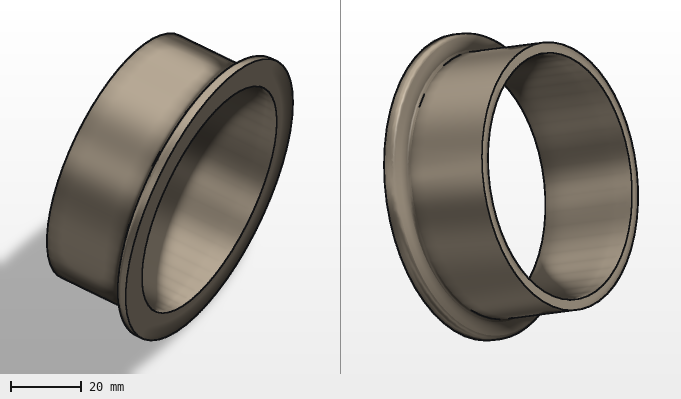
import cadquery as cq
import math

total_length = 30.0
bore_diameter = 70.0
tube_diameter = 76.0
flange_diameter = 87.0
rim_width = 3.0
taper_angle = 17.0
rim_fillet = 1.6
neck_fillet = 1.0

bore_radius = bore_diameter / 2
tube_radius = tube_diameter / 2
flange_radius = flange_diameter / 2
taper_length = (flange_radius - tube_radius) * math.tan(math.radians(taper_angle))
rim_back_x = total_length - rim_width
neck_x = rim_back_x - taper_length


def turned_body():
    """Half section of the wall, revolved about the X axis."""
    return (
        cq.Workplane("XY")
        .moveTo(0, bore_radius)
        .lineTo(total_length, bore_radius)
        .lineTo(total_length, flange_radius)
        .lineTo(rim_back_x, flange_radius)
        .lineTo(neck_x, tube_radius)
        .lineTo(0, tube_radius)
        .close()
        .revolve(360, (0, 0, 0), (1, 0, 0))
    )


def round_edge(body, x, fillet):
    """Fillet the circular edge whose centre lies on the axis at x."""
    edge = cq.selectors.NearestToPointSelector((x, 0, 0))
    return body.edges("%CIRCLE").edges(edge).fillet(fillet)


result = turned_body()
result = round_edge(result, rim_back_x, rim_fillet)
result = round_edge(result, neck_x, neck_fillet)